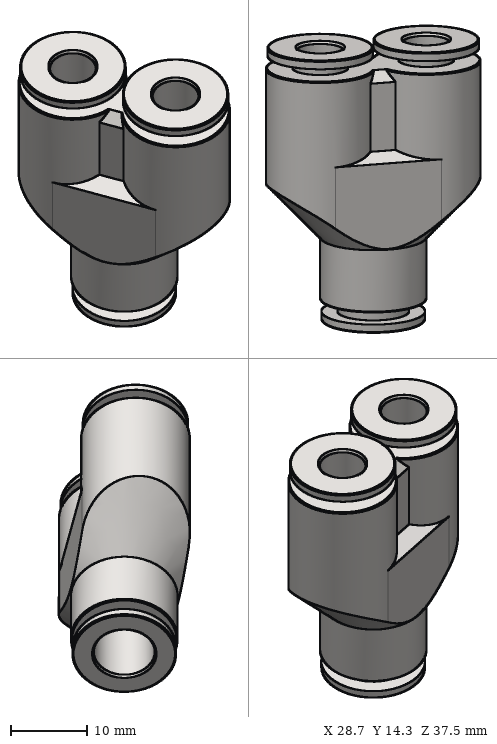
import cadquery as cq

leg_diameter = 14.25
leg_spacing = 14.48
body_bottom = 11.3
body_top = 34.7
leg_edge_chamfer = 0.15

pad_top = 23.02
web_half_thickness = 4.5
web_bottom = 24.05
web_top_chamfer = 1.42

stem_diameter = 14.0
stem_bottom = 2.8
stem_edge_chamfer = 0.15
cone_top = 19.12

overall_height = 37.5
flange_thickness = 1.15
flange_edge_chamfer = 0.15
leg_flange_diameter = 13.85
leg_neck_diameter = 7.3
stem_flange_diameter = 13.6
stem_neck_diameter = 9.4

leg_bore_diameter = 6.0
leg_bore_depth = 16.88
leg_stop_diameter = 5.5
leg_stop_depth = 2.62
stem_bore_diameter = 8.0
stem_bore_depth = 15.0
bore_mouth_widening = 0.22
bore_mouth_depth = 0.38

leg_radius = leg_diameter / 2
stem_radius = stem_diameter / 2
leg_x = leg_spacing / 2
leg_centers = (-leg_x, leg_x)


def cylinder(diameter, bottom, top, x=0.0):
    """Upright cylinder centred at (x, 0) between two heights."""
    return cq.Workplane("XY", origin=(x, 0, bottom)).circle(diameter / 2).extrude(top - bottom)


def make_leg(x):
    leg = cylinder(leg_diameter, body_bottom, body_top, x)
    return leg.faces(">Z").edges().chamfer(leg_edge_chamfer)


def make_web_and_pad():
    """Symmetric YZ profile: wide pad, sloped shoulder, thin web with bevelled top."""
    right_side = [
        (leg_radius, body_bottom),
        (leg_radius, pad_top),
        (web_half_thickness, web_bottom),
        (web_half_thickness, body_top - web_top_chamfer),
        (web_half_thickness - web_top_chamfer, body_top),
    ]
    left_side = [(-y, z) for y, z in reversed(right_side)]
    profile = cq.Workplane("YZ").polyline(right_side + left_side).close()
    return profile.extrude(leg_x, both=True)


def make_cone_envelope():
    """Cone widening from the stem to the outer reach of the legs, then straight up."""
    reach = leg_x + leg_radius
    profile = [
        (0, body_bottom),
        (stem_radius, body_bottom),
        (reach, cone_top),
        (reach, body_top),
        (0, body_top),
    ]
    return cq.Workplane("XZ").polyline(profile).close().revolve(360, (0, 0, 0), (0, 1, 0))


def make_body():
    body = make_web_and_pad()
    for x in leg_centers:
        body = body.union(make_leg(x))
    return body.intersect(make_cone_envelope())


def make_stem():
    stem = cylinder(stem_diameter, stem_bottom, body_bottom)
    return stem.faces("<Z").edges().chamfer(stem_edge_chamfer)


def make_leg_collar(x):
    flange_bottom = overall_height - flange_thickness
    flange = cylinder(leg_flange_diameter, flange_bottom, overall_height, x)
    flange = flange.faces(">Z").edges().chamfer(flange_edge_chamfer)
    return flange.union(cylinder(leg_neck_diameter, body_top, flange_bottom, x))


def make_stem_collar():
    flange = cylinder(stem_flange_diameter, 0, flange_thickness)
    flange = flange.faces("<Z").edges().chamfer(flange_edge_chamfer)
    return flange.union(cylinder(stem_neck_diameter, flange_thickness, stem_bottom))


def mouth_cutter(diameter, x, mouth_height, inward):
    """Countersink at a bore mouth; inward is -1 to cut downward and +1 to cut upward."""
    radius = diameter / 2
    mouth = cq.Workplane("XY", origin=(x, 0, mouth_height)).circle(radius + bore_mouth_widening)
    return mouth.workplane(offset=inward * bore_mouth_depth).circle(radius).loft(ruled=True)


def make_leg_socket(x):
    """Tube bore with a narrower blind recess beyond the tube stop."""
    stop_height = overall_height - leg_bore_depth
    socket = cylinder(leg_bore_diameter, stop_height, overall_height, x)
    socket = socket.union(cylinder(leg_stop_diameter, stop_height - leg_stop_depth, stop_height, x))
    return socket.union(mouth_cutter(leg_bore_diameter, x, overall_height, -1))


def make_stem_socket():
    socket = cylinder(stem_bore_diameter, 0, stem_bore_depth)
    return socket.union(mouth_cutter(stem_bore_diameter, 0, 0, 1))


result = make_body().union(make_stem()).union(make_stem_collar())
for x in leg_centers:
    result = result.union(make_leg_collar(x))
    result = result.cut(make_leg_socket(x))
result = result.cut(make_stem_socket())